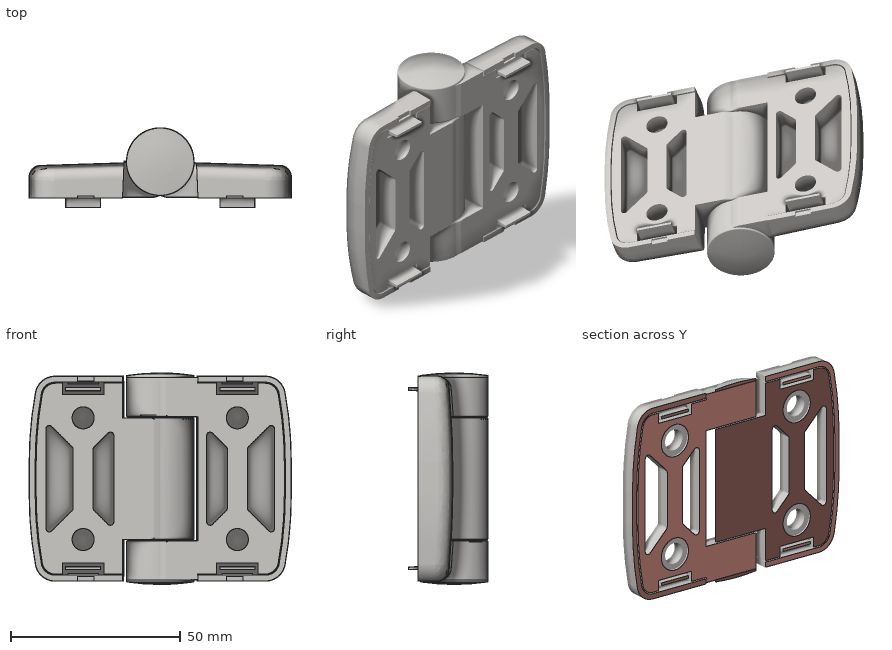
import cadquery as cq
import math


half_width = 38.7
knuckle_radius = 10.0
cover_bottom = -10.8
leaf_bottom = -10.5
clip_tip = -13.55

cover_half_height = 30.3
corner_radius = 6.0
side_flat_half = 4.95
side_arc_radius = 113.8
crown_radius = 309.7
crown_top_at_axis = -0.15
crown_slope = 0.03
crown_edge_fillet = 3.5
cover_wall = 1.8
leaf_clearance = 0.3
shape_overlap = 3.9

end_x_bottom = -11.15
end_x_top = -10.7

centre_knuckle_half = 18.0
knuckle_gap = 0.3
outer_knuckle_end = 29.9
knuckle_edge_fillet = 0.5
web_rise = 0.55
web_bevel_run = 1.8

cap_rim_height = 0.6
cap_edge_round = 0.3
cap_top = 31.24

screw_x = -22.8
screw_z = 18.0
screw_hole_diameter = 6.5
screw_seat_depth = 3.8
screw_head_diameter = 10.0

outer_pocket = (-33.75, -25.7, 9.05)
inner_pocket = (-13.7, -19.8, 9.05)
pocket_depth = 6.35
pocket_corner_radius = 1.0
pocket_floor_fillet = 0.55

slot_width = 12.2
slot_inner_z = 24.9
clip_width = 10.4
clip_outer_z = 26.9
clip_root_thickness = 1.0
clip_tip_thickness = 0.8
clip_taper_length = 4.25
bead_width = 9.0
bead_height = 0.5
bead_length = 1.2
notch_width = 4.8
notch_x = -22.0
notch_depth_y = 0.6
notch_depth_z = 1.5


def box(x_range, y_range, z_range):
    """Box between the given pairs of limits."""
    (x0, x1), (y0, y1), (z0, z1) = x_range, y_range, z_range
    return cq.Workplane("XY").box(x1 - x0, y1 - y0, z1 - z0, centered=False).translate((x0, y0, z0))


def mirrored_x(body):
    return body.mirror("YZ")


def with_z_mirror(body):
    """The shape together with its mirror image across Z = 0."""
    return body.union(body.mirror("XY"))


def below_crown(offset):
    """Space under the crowned, sloping outer surface shifted by `offset` along Y."""
    start_x = -half_width - shape_overlap
    start_y = crown_top_at_axis + crown_slope * start_x + offset - crown_radius
    length = 2 * shape_overlap - start_x + crown_slope * crown_radius
    cylinder = cq.Solid.makeCylinder(
        crown_radius, length, cq.Vector(start_x, start_y, 0), cq.Vector(1, crown_slope, 0)
    )
    return cq.Workplane(obj=cylinder)


def beyond_end_plane():
    """Space on the plate side of the slanted end plane."""
    slope = (end_x_top - end_x_bottom) / -cover_bottom
    outer_x = -half_width - shape_overlap
    low_y = clip_tip - shape_overlap
    high_y = shape_overlap
    return (
        cq.Workplane("XY")
        .polyline([
            (outer_x, low_y),
            (end_x_top + slope * low_y, low_y),
            (end_x_top + slope * high_y, high_y),
            (outer_x, high_y),
        ])
        .close()
        .extrude(2 * cover_half_height, both=True)
    )


def outline_prism(inset, bottom):
    """Prism of the cover outline, moved inward by `inset`, rising from Y = `bottom`."""
    top_z = cover_half_height - inset
    left_x = -half_width + inset
    round_radius = corner_radius - inset
    arc_radius = side_arc_radius - inset
    corner_z = top_z - round_radius
    arc_x = left_x + arc_radius
    corner_x = arc_x - math.sqrt((arc_radius - round_radius) ** 2 - (corner_z - side_flat_half) ** 2)
    reach = arc_radius / (arc_radius - round_radius)
    side_x = arc_x + (corner_x - arc_x) * reach
    side_z = side_flat_half + (corner_z - side_flat_half) * reach
    return (
        cq.Workplane("XZ", origin=(0, bottom, 0))
        .moveTo(shape_overlap, top_z)
        .lineTo(corner_x, top_z)
        .tangentArcPoint((side_x, side_z), relative=False)
        .tangentArcPoint((left_x, side_flat_half), relative=False)
        .lineTo(left_x, -side_flat_half)
        .tangentArcPoint((side_x, -side_z), relative=False)
        .tangentArcPoint((corner_x, -top_z), relative=False)
        .lineTo(shape_overlap, -top_z)
        .close()
        .extrude(bottom - shape_overlap)
    )


def under_cover(inset, bottom):
    """Block below the cover's ceiling, `inset` from the cover outline, down to Y = `bottom`."""
    return outline_prism(inset, bottom).intersect(below_crown(-cover_wall))


def cover_clip():
    """Tapered tongue hanging from the cover's ceiling through the leaf slot."""
    root_z = clip_outer_z - clip_root_thickness
    tip_z = clip_outer_z - clip_tip_thickness
    profile = [
        (0, clip_outer_z),
        (clip_tip, clip_outer_z),
        (clip_tip, tip_z),
        (clip_tip + clip_taper_length, root_z),
        (0, root_z),
    ]
    clip = cq.Workplane("YZ", origin=(screw_x, 0, 0)).polyline(profile).close()
    clip = clip.extrude(clip_width / 2, both=True)
    return clip.intersect(below_crown(-cover_wall / 2))


def snap_bead():
    """Wedge-shaped ridge on the inside of the rim, in line with the clip."""
    rim_z = cover_half_height - cover_wall
    profile = [
        (leaf_bottom, rim_z),
        (leaf_bottom + bead_length, rim_z - bead_height),
        (leaf_bottom + 2 * bead_length, rim_z),
    ]
    bead = cq.Workplane("YZ", origin=(screw_x, 0, 0)).polyline(profile).close()
    return bead.extrude(bead_width / 2, both=True)


def pry_notch():
    return box(
        (notch_x - notch_width / 2, notch_x + notch_width / 2),
        (cover_bottom, cover_bottom + notch_depth_y),
        (cover_half_height - notch_depth_z, cover_half_height),
    )


def make_cover():
    shell = outline_prism(0, cover_bottom).intersect(below_crown(0))
    crown_edges = shell.faces(">Y").edges("not >X")
    shell = shell.newObject(crown_edges.vals()).fillet(crown_edge_fillet)
    shell = shell.intersect(beyond_end_plane()).cut(under_cover(cover_wall, cover_bottom))
    shell = shell.union(with_z_mirror(cover_clip())).union(with_z_mirror(snap_bead()))
    return shell.cut(with_z_mirror(pry_notch()))


def trapezoid_pocket(long_x, short_x, short_half):
    """Blind pocket with 45 degree ends, rounded corners and a filleted floor."""
    long_half = short_half + abs(short_x - long_x)
    return (
        cq.Workplane("XZ", origin=(0, leaf_bottom, 0))
        .polyline([
            (long_x, long_half),
            (short_x, short_half),
            (short_x, -short_half),
            (long_x, -long_half),
        ])
        .close()
        .extrude(-pocket_depth)
        .edges("|Y")
        .fillet(pocket_corner_radius)
        .faces(">Y")
        .edges()
        .fillet(pocket_floor_fillet)
    )


def screw_hole():
    """Through hole that widens into a screw-head recess under the cover."""
    seat_y = leaf_bottom + screw_seat_depth
    hole = (
        cq.Workplane("XZ", origin=(screw_x, leaf_bottom, screw_z))
        .circle(screw_hole_diameter / 2)
        .extrude(-screw_seat_depth)
    )
    head = (
        cq.Workplane("XZ", origin=(screw_x, seat_y, screw_z))
        .circle(screw_head_diameter / 2)
        .extrude(seat_y)
    )
    return hole.union(head)


def clip_slot():
    return box(
        (screw_x - slot_width / 2, screw_x + slot_width / 2),
        (leaf_bottom, 0),
        (slot_inner_z, cover_half_height),
    )


def make_plate():
    """The part of a leaf that lies in its cover, with a narrow gap inside the rim."""
    plate = under_cover(cover_wall + leaf_clearance, leaf_bottom).intersect(beyond_end_plane())
    for pocket in (outer_pocket, inner_pocket):
        plate = plate.cut(trapezoid_pocket(*pocket))
    plate = plate.cut(with_z_mirror(screw_hole()))
    return plate.cut(with_z_mirror(clip_slot()))


def knuckle(z_low, z_high):
    return cq.Workplane("XY", origin=(0, 0, z_low)).circle(knuckle_radius).extrude(z_high - z_low)


def web(z_low, z_high, rounded_ends):
    """Block between plate and knuckle, with a bevel up to the knuckle's lowest line.

    At each Z in `rounded_ends` the bevel is rounded like the knuckle's edge.
    """
    bevel_middle = (-web_bevel_run / 2, (leaf_bottom - knuckle_radius) / 2)
    block = (
        cq.Workplane("XY", origin=(0, 0, z_low))
        .polyline([
            (end_x_bottom, leaf_bottom),
            (-web_bevel_run, leaf_bottom),
            (0, -knuckle_radius),
            (0, shape_overlap),
            (end_x_bottom, shape_overlap),
        ])
        .close()
        .extrude(z_high - z_low)
    )
    for end_z in rounded_ends:
        bevel_end = cq.selectors.NearestToPointSelector((*bevel_middle, end_z))
        block = block.edges(bevel_end).fillet(knuckle_edge_fillet)
    return block.intersect(below_crown(web_rise)).cut(beyond_end_plane())


def make_centre_leaf():
    """Left leaf, carrying the knuckle in the middle."""
    barrel = knuckle(-centre_knuckle_half, centre_knuckle_half)
    barrel = barrel.edges("%CIRCLE").fillet(knuckle_edge_fillet)
    ends = (-centre_knuckle_half, centre_knuckle_half)
    return make_plate().union(web(*ends, rounded_ends=ends)).union(barrel)


def make_outer_leaf():
    """Right leaf, carrying the two outer knuckles; built left-handed and mirrored."""
    z_low = centre_knuckle_half + knuckle_gap
    barrel = knuckle(z_low, outer_knuckle_end).faces("<Z").edges().fillet(knuckle_edge_fillet)
    arm = web(z_low, outer_knuckle_end, rounded_ends=(z_low,))
    arm = arm.faces(">Y").edges(">Z").fillet(crown_edge_fillet)
    return mirrored_x(make_plate().union(with_z_mirror(arm.union(barrel))))


def make_upper_cap():
    """Disc with a rounded rim and a shallow dome."""
    rim_z = outer_knuckle_end + cap_rim_height
    dome_edge = knuckle_radius - cap_edge_round
    dome_rise = cap_top - rim_z
    dome_radius = (dome_edge ** 2 + dome_rise ** 2) / (2 * dome_rise)
    return (
        cq.Workplane("XZ")
        .moveTo(0, outer_knuckle_end)
        .lineTo(knuckle_radius, outer_knuckle_end)
        .lineTo(knuckle_radius, rim_z - cap_edge_round)
        .radiusArc((dome_edge, rim_z), -cap_edge_round)
        .radiusArc((0, cap_top), -dome_radius)
        .close()
        .revolve(360, (0, 0, 0), (0, 1, 0))
    )


left_cover = make_cover()
right_cover = mirrored_x(left_cover)
centre_leaf = make_centre_leaf()
outer_leaf = make_outer_leaf()
upper_cap = make_upper_cap()
lower_cap = upper_cap.mirror("XY")

result = cq.Compound.makeCompound([
    left_cover.val(),
    right_cover.val(),
    centre_leaf.val(),
    outer_leaf.val(),
    upper_cap.val(),
    lower_cap.val(),
])